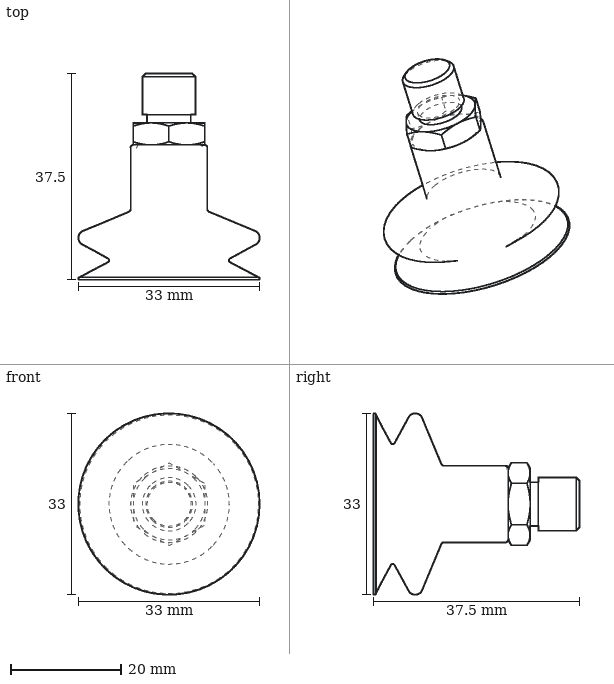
import cadquery as cq
import math


total_length = 37.5
thread_length = 7.5
undercut_length = 1.5
nut_thickness = 4.0
thread_start = total_length - thread_length
nut_top = thread_start - undercut_length
neck_top = nut_top - nut_thickness

thread_radius = 9.7 / 2
undercut_radius = 8.0 / 2
thread_chamfer = 0.65

nut_across_flats = 13.0
nut_corner_radius = nut_across_flats / math.sqrt(3)
nut_chamfer_angle = math.radians(30)

neck_radius = 14.0 / 2
neck_rounding = 0.5
neck_base = 12.85
shoulder_radius = 7.28
shoulder_height = 12.38

cup_radius = 16.5
bead_radius = 1.4
bead_height = 7.6
bead_centre = cup_radius - bead_radius

waist_radius = 10.9
waist_edge_radius = 11.05
waist_top = 3.82
waist_bottom = 3.22
waist_height = (waist_top + waist_bottom) / 2

lip_thickness = 0.5
lip_face_radius = 16.25


def bead_tangent_point(radius, height):
    """Point where a line from the given inner point touches the bead."""
    across = radius - bead_centre
    along = height - bead_height
    side = math.copysign(1, along)
    to_point = math.atan2(along, across)
    angle = to_point - side * math.acos(bead_radius / math.hypot(across, along))
    return (
        bead_centre + bead_radius * math.cos(angle),
        bead_height + bead_radius * math.sin(angle),
    )


def make_cup():
    """Lip, bellows and neck, revolved in one piece."""
    rounding_offset = neck_rounding * math.sqrt(0.5)
    profile = (
        cq.Workplane("XY")
        .lineTo(lip_face_radius, 0)
        .threePointArc((cup_radius, lip_thickness / 2), (lip_face_radius, lip_thickness))
        .lineTo(waist_edge_radius, waist_bottom)
        .threePointArc((waist_radius, waist_height), (waist_edge_radius, waist_top))
        .lineTo(*bead_tangent_point(waist_edge_radius, waist_top))
        .threePointArc(
            (cup_radius, bead_height),
            bead_tangent_point(shoulder_radius, shoulder_height),
        )
        .lineTo(shoulder_radius, shoulder_height)
        .tangentArcPoint((neck_radius, neck_base), relative=False)
        .lineTo(neck_radius, neck_top - neck_rounding)
        .threePointArc(
            (
                neck_radius - neck_rounding + rounding_offset,
                neck_top - neck_rounding + rounding_offset,
            ),
            (neck_radius - neck_rounding, neck_top),
        )
        .lineTo(0, neck_top)
        .close()
    )
    return profile.revolve(360, (0, 0, 0), (0, 1, 0))


def make_nut():
    """Hexagonal prism with its corners cut by a cone at each end."""
    face_radius = nut_across_flats / 2
    corner_drop = (nut_corner_radius - face_radius) * math.tan(nut_chamfer_angle)
    prism = (
        cq.Workplane("XZ", origin=(0, neck_top, 0))
        .polygon(6, 2 * nut_corner_radius)
        .extrude(-nut_thickness)
        .rotate((0, 0, 0), (0, 1, 0), 90)
    )
    envelope = (
        cq.Workplane("XY")
        .moveTo(0, neck_top)
        .lineTo(face_radius, neck_top)
        .lineTo(nut_corner_radius, neck_top + corner_drop)
        .lineTo(nut_corner_radius, nut_top - corner_drop)
        .lineTo(face_radius, nut_top)
        .lineTo(0, nut_top)
        .close()
        .revolve(360, (0, 0, 0), (0, 1, 0))
    )
    return prism.intersect(envelope)


def make_stud():
    """Undercut and threaded end, with the thread drawn as a plain cylinder."""
    undercut = cq.Workplane("XZ", origin=(0, nut_top, 0)).circle(undercut_radius).extrude(-undercut_length)
    thread = (
        cq.Workplane("XZ", origin=(0, thread_start, 0))
        .circle(thread_radius)
        .extrude(-thread_length)
        .faces(">Y")
        .chamfer(thread_chamfer)
    )
    return undercut.union(thread)


result = make_cup().union(make_nut()).union(make_stud())